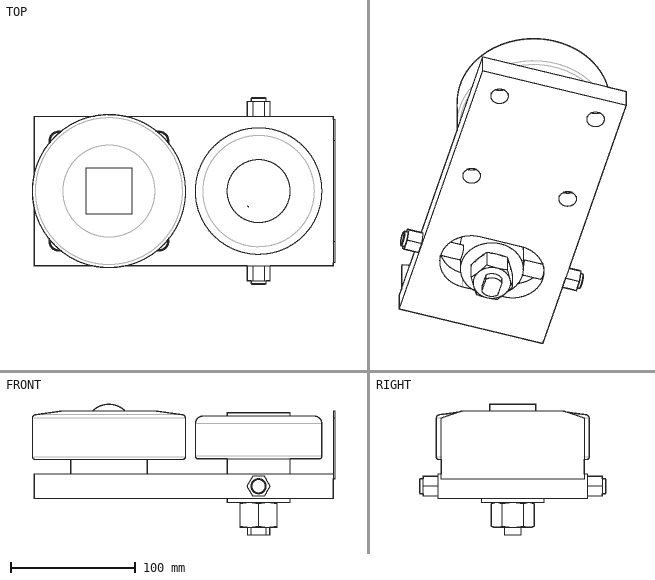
import cadquery as cq
import math

plate_length = 240.0
plate_width = 120.0
plate_thickness = 20.0

load_x = plate_length / 4
load_radius = 61.5
load_bottom = 11.5
load_rim = 47.1
load_top = 50.5
load_flat_radius = 37.0
load_top_fillet = 3.0
load_bottom_fillet = 2.2
load_hub_radius = 30.9
cross_roller_size = 37.0
cross_roller_top = 56.0

mount_offset = 40.0
mount_diameter = 14.0
mount_chamfer = 1.0

guide_x = plate_length * 3 / 4
guide_radius = 50.8
guide_bottom = 12.0
guide_top = 46.5
guide_top_fillet = 6.0
guide_bottom_fillet = 2.2
shaft_radius = 25.3
shaft_top = 49.0
shaft_bottom = -23.0
slot_travel = 17.3

nut_flats = 30.0
nut_bottom = -43.0
nut_chamfer_drop = 1.0
stud_radius = 9.0
stud_flats = 13.4
stud_bottom = -49.0

screw_z = -plate_thickness / 2
screw_radius = 6.0
screw_chamfer = 0.7
screw_span = 150.0
screw_nut_flats = 16.0
screw_nut_height = 12.0

wiper_thickness = 1.5
wiper_width = 115.0
wiper_bottom = -4.1
wiper_top = load_top
wiper_corner_run = 17.0
wiper_corner_drop = 5.8


def cylinder(x, radius, bottom, top):
    """Upright cylinder centred at (x, 0)."""
    return cq.Workplane("XY", origin=(x, 0, bottom)).circle(radius).extrude(top - bottom)


def hexagon_corners(flats):
    """Diameter across the corners of a hexagon with this size across its flats."""
    return flats / math.cos(math.pi / 6)


def make_plate():
    plate = cq.Workplane("XY").box(
        plate_length, plate_width, plate_thickness, centered=(False, True, False)
    ).translate((0, 0, -plate_thickness))
    mounts = (
        cq.Workplane("XY", origin=(load_x, 0, 0))
        .rect(2 * mount_offset, 2 * mount_offset, forConstruction=True)
        .vertices()
    )
    plate = plate.cut(mounts.circle(mount_diameter / 2).extrude(-plate_thickness))
    plate = plate.faces(">Z").edges("%CIRCLE").chamfer(mount_chamfer)
    slot_length = 2 * (slot_travel + shaft_radius)
    slot = (
        cq.Workplane("XY", origin=(guide_x, 0, 0))
        .slot2D(slot_length, 2 * shaft_radius, angle=90)
        .extrude(-plate_thickness)
    )
    return plate.cut(slot)


def make_load_roller():
    roller = (
        cq.Workplane("XZ", origin=(load_x, 0, 0))
        .moveTo(0, load_bottom)
        .lineTo(load_radius, load_bottom)
        .lineTo(load_radius, load_rim)
        .lineTo(load_flat_radius, load_top)
        .lineTo(0, load_top)
        .close()
        .revolve(360, (0, 0), (0, 1))
    )
    roller = roller.faces("<Z").edges().fillet(load_bottom_fillet)
    top_rim = roller.edges("%CIRCLE").edges(cq.selectors.CenterNthSelector(cq.Vector(0, 0, 1), -2))
    roller = top_rim.fillet(load_top_fillet)
    return roller.union(cylinder(load_x, load_hub_radius, 0, load_bottom))


def add_cross_roller(roller):
    """Sink a square pocket to the cross roller's axis and leave the upper half of it standing."""
    radius = cross_roller_size / 2
    axis_z = cross_roller_top - radius
    pocket = (
        cq.Workplane("XY", origin=(load_x, 0, axis_z))
        .rect(cross_roller_size, cross_roller_size)
        .extrude(load_top - axis_z)
    )
    half_roller = (
        cq.Workplane("XZ", origin=(load_x, 0, axis_z))
        .moveTo(-radius, 0)
        .threePointArc((0, radius), (radius, 0))
        .close()
        .extrude(radius, both=True)
    )
    return roller.cut(pocket).union(half_roller)


def make_screw(side):
    """Adjusting screw and nut on the long side at y = side * plate_width / 2, up to the shaft."""
    outward = (0, side, 0)
    tip = cq.Plane(origin=(guide_x, side * shaft_radius, screw_z), xDir=(1, 0, 0), normal=outward)
    rod = cq.Workplane(tip).circle(screw_radius).extrude(screw_span / 2 - shaft_radius)
    rod = rod.faces(">Y" if side > 0 else "<Y").chamfer(screw_chamfer)
    seat = cq.Plane(origin=(guide_x, side * plate_width / 2, screw_z), xDir=(1, 0, 0), normal=outward)
    nut = cq.Workplane(seat).polygon(6, hexagon_corners(screw_nut_flats)).extrude(screw_nut_height)
    return rod.union(nut)


def make_wiper():
    half = wiper_width / 2
    shoulder = wiper_top - wiper_corner_drop
    outline = [
        (-half, wiper_bottom),
        (half, wiper_bottom),
        (half, shoulder),
        (half - wiper_corner_run, wiper_top),
        (wiper_corner_run - half, wiper_top),
        (-half, shoulder),
    ]
    return (
        cq.Workplane("YZ", origin=(plate_length, 0, 0)).polyline(outline).close().extrude(wiper_thickness)
    )


def make_base():
    base = make_plate().union(add_cross_roller(make_load_roller())).union(make_wiper())
    for side in (-1, 1):
        base = base.union(make_screw(side))
    return base


def make_shaft_nut():
    """Hexagon with two flats facing along X and its corners bevelled at both ends."""
    corners = hexagon_corners(nut_flats)
    height = shaft_bottom - nut_bottom
    hexagon = (
        cq.Workplane("XY", origin=(guide_x, 0, nut_bottom))
        .transformed(rotate=(0, 0, 30))
        .polygon(6, corners)
        .extrude(height)
    )
    corner_bevel = (corners - nut_flats) / 2
    envelope = (
        cylinder(guide_x, corners / 2, nut_bottom, shaft_bottom)
        .faces("<Z or >Z")
        .edges()
        .chamfer(nut_chamfer_drop, corner_bevel)
    )
    return hexagon.intersect(envelope)


def make_stud_end():
    flats = (
        cq.Workplane("XY", origin=(guide_x, 0, stud_bottom))
        .rect(2 * stud_radius, stud_flats)
        .extrude(nut_bottom - stud_bottom)
    )
    return cylinder(guide_x, stud_radius, stud_bottom, nut_bottom).intersect(flats)


def make_guide():
    roller = cylinder(guide_x, guide_radius, guide_bottom, guide_top)
    roller = roller.faces(">Z").edges().fillet(guide_top_fillet)
    roller = roller.faces("<Z").edges().fillet(guide_bottom_fillet)
    shaft = cylinder(guide_x, shaft_radius, shaft_bottom, shaft_top)
    return roller.union(shaft).union(make_shaft_nut()).union(make_stud_end())


base = make_base()
guide = make_guide()

result = cq.Compound.makeCompound([base.val(), guide.val()])